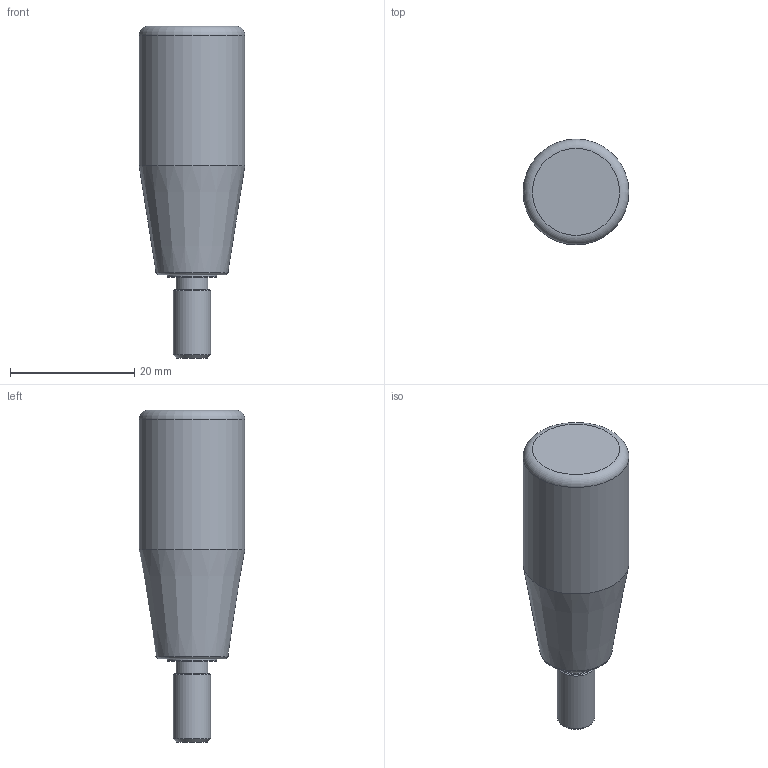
import cadquery as cq


grip_diameter = 17.0
grip_length = 40.0
grip_cylinder_length = 22.5
grip_top_radius = 1.5
grip_bottom_diameter = 11.45
grip_bottom_radius = 0.5

collar_diameter = 8.0
collar_height = 0.4
collar_chamfer = 0.1

stud_length = 13.0
thread_diameter = 6.0
thread_length = 11.0
neck_diameter = 5.1
thread_tip_chamfer = 0.5
thread_relief_chamfer = 0.15


def make_grip():
    """Revolve the grip: rounded top, cylinder, taper and rounded lower edge."""
    radius = grip_diameter / 2
    bottom_radius = grip_bottom_diameter / 2
    bottom_z = collar_height
    top_z = bottom_z + grip_length
    taper_start_z = top_z - grip_cylinder_length
    profile = (
        cq.Workplane("XZ")
        .moveTo(0, bottom_z)
        .lineTo(bottom_radius, bottom_z)
        .lineTo(radius, taper_start_z)
        .lineTo(radius, top_z - grip_top_radius)
        .tangentArcPoint((radius - grip_top_radius, top_z), relative=False)
        .lineTo(0, top_z)
        .close()
    )
    grip = profile.revolve(360, (0, 0, 0), (0, 1, 0))
    return grip.faces("<Z").edges().fillet(grip_bottom_radius)


def make_collar():
    """Thin disc on which the grip stands, with a broken lower edge."""
    disc = cq.Workplane("XY").circle(collar_diameter / 2).extrude(collar_height)
    return disc.faces("<Z").edges().chamfer(collar_chamfer)


def make_stud():
    """Revolve the stud: undercut neck and plain thread cylinder with a bevelled tip."""
    thread_radius = thread_diameter / 2
    tip_z = -stud_length
    thread_top_z = tip_z + thread_length
    profile = (
        cq.Workplane("XZ")
        .moveTo(0, tip_z)
        .lineTo(thread_radius - thread_tip_chamfer, tip_z)
        .lineTo(thread_radius, tip_z + thread_tip_chamfer)
        .lineTo(thread_radius, thread_top_z - thread_relief_chamfer)
        .lineTo(thread_radius - thread_relief_chamfer, thread_top_z)
        .lineTo(neck_diameter / 2, thread_top_z)
        .lineTo(neck_diameter / 2, collar_height)
        .lineTo(0, collar_height)
        .close()
    )
    return profile.revolve(360, (0, 0, 0), (0, 1, 0))


result = make_grip().union(make_collar()).union(make_stud())